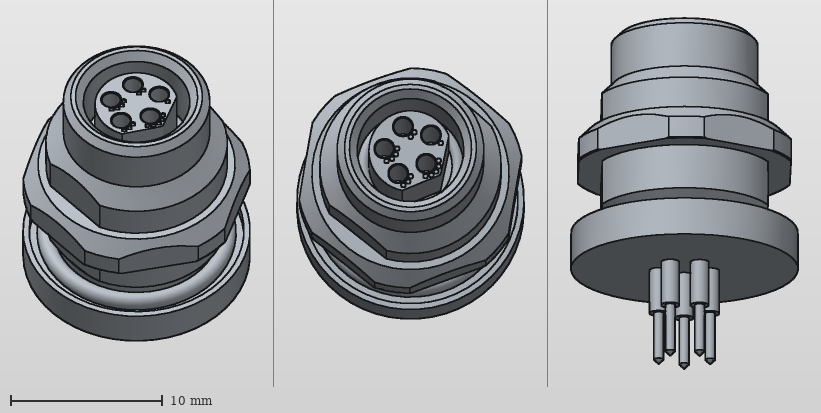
import cadquery as cq
import math

KEY_ANGLE = 11.6

PIN_STEP_Z = 3.53
FLANGE_BOTTOM_Z = 6.5
FLANGE_TOP_Z = 9.0
NECK_TOP_Z = 9.58
HEX_BOTTOM_Z = 13.18
HEX_TOP_Z = 15.65
SHOULDER_Z = 19.01
INSERT_TOP_Z = 21.74
TOP_Z = 22.5

FLANGE_RADIUS = 7.5
NECK_RADIUS = 5.38
BARREL_RADIUS = 5.98
BARREL_FLAT_DISTANCE = 5.47
NOSE_RADIUS = 4.84
NOSE_CHAMFER = 0.5
HEX_FLAT_DISTANCE = 7.0
HEX_CORNER_RADIUS = FLANGE_RADIUS
HEX_TOP_CHAMFER = 1.0
HEX_BOTTOM_CHAMFER = 0.07

BORE_RADIUS = 3.5
BORE_CHAMFER = 0.52
BORE_FLOOR_Z = 17.5
INSERT_RADIUS = 2.75
KEY_TIP_RADIUS = 2.56
KEY_TIP_FILLET = 0.22
KEY_SPREAD = 62.0

OUTER_RING_SECTION = 0.58
OUTER_RING_RADIUS = 5.98
GROOVE_RADIUS = 7.09
GROOVE_DEPTH = 0.8

PIN_RADIUS = 0.6
TAIL_RADIUS = 0.326
PIN_TOP_Z = BORE_FLOOR_Z
HOLE_CHAMFER = 0.07
PIN_CIRCLE_RADIUS = 1.73
KEY_PIN_RADIUS = 1.35
PIN_POSITIONS = [
    (PIN_CIRCLE_RADIUS, 78.4),
    (PIN_CIRCLE_RADIUS, 146.0),
    (PIN_CIRCLE_RADIUS, -78.4),
    (PIN_CIRCLE_RADIUS, -146.0),
    (KEY_PIN_RADIUS, 0.0),
]

DOT_RADIUS = 0.15
DOT_DEPTH = 0.11
DOT_CIRCLE_RADIUS = 0.844
DOT_STEP_ANGLE = 27.0


def polar(radius, angle):
    """Point at an angle in degrees from the X axis."""
    return (radius * math.cos(math.radians(angle)), radius * math.sin(math.radians(angle)))


def from_key(radius, angle):
    """Point at an angle in degrees from the key direction."""
    return polar(radius, KEY_ANGLE + angle)


def revolved(profile):
    """Solid of revolution about Z of a closed (radius, z) profile."""
    return cq.Workplane("XZ").polyline(profile).close().revolve(360, (0, 0, 0), (0, 1, 0))


def cylinder(radius, bottom, top, center=(0, 0)):
    return cq.Workplane("XY", origin=(*center, bottom)).circle(radius).extrude(top - bottom)


def sealing_ring(center_radius, section_radius, center_z):
    return cq.Workplane("XY").add(cq.Solid.makeTorus(center_radius, section_radius, cq.Vector(0, 0, center_z)))


def make_barrel():
    """Neck, barrel chamfered at both ends with two opposite flats, and nose."""
    lower_chamfer = BARREL_RADIUS - NECK_RADIUS
    upper_chamfer = BARREL_RADIUS - NOSE_RADIUS
    body = revolved([
        (0, FLANGE_BOTTOM_Z),
        (NECK_RADIUS, FLANGE_BOTTOM_Z),
        (NECK_RADIUS, NECK_TOP_Z),
        (BARREL_RADIUS, NECK_TOP_Z + lower_chamfer),
        (BARREL_RADIUS, SHOULDER_Z - upper_chamfer),
        (NOSE_RADIUS, SHOULDER_Z),
        (NOSE_RADIUS, TOP_Z - NOSE_CHAMFER),
        (NOSE_RADIUS - NOSE_CHAMFER, TOP_Z),
        (0, TOP_Z),
    ])
    between_flats = (
        cq.Workplane("XY")
        .rect(2 * FLANGE_RADIUS, 2 * BARREL_FLAT_DISTANCE)
        .extrude(TOP_Z)
        .rotate((0, 0, 0), (0, 0, 1), KEY_ANGLE)
    )
    return body.intersect(between_flats)


def make_flange():
    """Round flange with the groove for the outer sealing ring."""
    flange = cylinder(FLANGE_RADIUS, FLANGE_BOTTOM_Z, FLANGE_TOP_Z)
    groove = cylinder(GROOVE_RADIUS, FLANGE_TOP_Z - GROOVE_DEPTH, FLANGE_TOP_Z)
    return flange.cut(groove)


def make_hex_collar():
    """Hexagon with its corners turned round and chamfered; two of its flats are parallel to the barrel flats."""
    turned = revolved([
        (0, HEX_BOTTOM_Z),
        (HEX_CORNER_RADIUS - HEX_BOTTOM_CHAMFER, HEX_BOTTOM_Z),
        (HEX_CORNER_RADIUS, HEX_BOTTOM_Z + HEX_BOTTOM_CHAMFER),
        (HEX_CORNER_RADIUS, HEX_TOP_Z - HEX_TOP_CHAMFER),
        (HEX_CORNER_RADIUS - HEX_TOP_CHAMFER, HEX_TOP_Z),
        (0, HEX_TOP_Z),
    ])
    hexagon = (
        cq.Workplane("XY")
        .polygon(6, 2 * HEX_FLAT_DISTANCE, circumscribed=True)
        .extrude(TOP_Z)
        .rotate((0, 0, 0), (0, 0, 1), KEY_ANGLE + 90)
    )
    return turned.intersect(hexagon)


def make_socket_cut():
    """Chamfered bore of the nose, leaving the keyed insert standing."""
    bore = revolved([
        (0, BORE_FLOOR_Z),
        (BORE_RADIUS, BORE_FLOOR_Z),
        (BORE_RADIUS, TOP_Z - BORE_CHAMFER),
        (BORE_RADIUS + BORE_CHAMFER, TOP_Z),
        (0, TOP_Z),
    ])
    tip_middle_z = (BORE_FLOOR_Z + INSERT_TOP_Z) / 2
    insert = (
        cq.Workplane("XY", origin=(0, 0, BORE_FLOOR_Z))
        .moveTo(*from_key(KEY_TIP_RADIUS, 0))
        .lineTo(*from_key(INSERT_RADIUS, KEY_SPREAD))
        .threePointArc(from_key(INSERT_RADIUS, 180), from_key(INSERT_RADIUS, -KEY_SPREAD))
        .close()
        .extrude(INSERT_TOP_Z - BORE_FLOOR_Z)
        .edges(cq.selectors.NearestToPointSelector((*from_key(KEY_TIP_RADIUS, 0), tip_middle_z)))
        .fillet(KEY_TIP_FILLET)
    )
    return bore.cut(insert)


def make_pin_hole(center):
    """Through hole that holds a pin, chamfered at the insert's top."""
    hole = revolved([
        (0, FLANGE_BOTTOM_Z),
        (PIN_RADIUS, FLANGE_BOTTOM_Z),
        (PIN_RADIUS, INSERT_TOP_Z - HOLE_CHAMFER),
        (PIN_RADIUS + HOLE_CHAMFER, INSERT_TOP_Z),
        (0, INSERT_TOP_Z),
    ])
    return hole.translate((*center, 0))


def dot_centers(number, hole_center):
    """Dots on an arc beside a hole, spread evenly about the key direction."""
    centers = []
    for index in range(number):
        x, y = from_key(DOT_CIRCLE_RADIUS, (index - (number - 1) / 2) * DOT_STEP_ANGLE)
        centers.append((hole_center[0] + x, hole_center[1] + y))
    return centers


def make_housing():
    housing = make_barrel().union(make_flange()).union(make_hex_collar())
    housing = housing.cut(make_socket_cut())
    for center in pin_centers:
        housing = housing.cut(make_pin_hole(center))
    for number, center in enumerate(pin_centers, start=1):
        for dot_center in dot_centers(number, center):
            housing = housing.cut(cylinder(DOT_RADIUS, INSERT_TOP_Z - DOT_DEPTH, INSERT_TOP_Z, dot_center))
    return housing


def make_outer_ring():
    """Ring close around the neck, resting on the groove floor."""
    center_z = FLANGE_TOP_Z - GROOVE_DEPTH + OUTER_RING_SECTION
    return sealing_ring(OUTER_RING_RADIUS, OUTER_RING_SECTION, center_z)


def make_inner_ring():
    """Ring on the socket floor that fills the gap between the insert and the bore."""
    section_radius = (BORE_RADIUS - INSERT_RADIUS) / 2
    return sealing_ring(INSERT_RADIUS + section_radius, section_radius, BORE_FLOOR_Z + section_radius)


def make_pin(center):
    """Pin with a thinner solder tail that ends in a 45 degree point."""
    pin = revolved([
        (0, 0),
        (TAIL_RADIUS, TAIL_RADIUS),
        (TAIL_RADIUS, PIN_STEP_Z),
        (PIN_RADIUS, PIN_STEP_Z),
        (PIN_RADIUS, PIN_TOP_Z),
        (0, PIN_TOP_Z),
    ])
    return pin.translate((*center, 0))


pin_centers = [from_key(radius, angle) for radius, angle in PIN_POSITIONS]

housing = make_housing()
outer_ring = make_outer_ring()
inner_ring = make_inner_ring()
pins = [make_pin(center) for center in pin_centers]

result = cq.Compound.makeCompound(
    [housing.val(), outer_ring.val(), inner_ring.val(), *[pin.val() for pin in pins]]
)